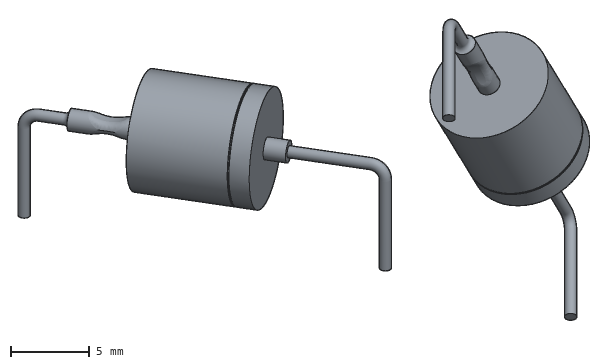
import cadquery as cq
import math

overall_length = 24.8
case_length = 8.18
case_diameter = 8.0
cap_length = 1.36
groove_width = 0.1
groove_diameter = 7.8

wire_diameter = 0.8
bend_radius = 1.0
lead_drop = 7.61
sleeve_diameter = 1.5
crimp_sleeve_length = 4.85
plain_sleeve_length = 1.5

crimp_offset = 2.23
crimp_floor_height = 0.42
crimp_floor_radius = 2.6
crimp_rim_radius = 0.47

case_end = case_length / 2
cap_start = case_end - cap_length
wire_radius = wire_diameter / 2
sleeve_radius = sleeve_diameter / 2
wire_x = overall_length / 2 - wire_radius
root_fillet = sleeve_radius - wire_radius


def cylinder_x(start, length, diameter):
    return cq.Workplane("YZ", origin=(start, 0, 0)).circle(diameter / 2).extrude(length)


def make_case():
    return cylinder_x(-case_end, cap_start - groove_width + case_end, case_diameter)


def make_cap():
    """Cap with a smaller spigot that forms the floor of the groove."""
    cap = cylinder_x(cap_start, cap_length, case_diameter)
    spigot = cylinder_x(cap_start - groove_width, groove_width, groove_diameter)
    return cap.union(spigot)


def make_bent_wire(start_x):
    """Wire on the +X side, bent down to -Z."""
    bend_x = wire_x - bend_radius
    bend_mid = bend_radius * math.sqrt(0.5)
    path = (
        cq.Workplane("XZ")
        .moveTo(start_x, 0)
        .lineTo(bend_x, 0)
        .threePointArc((bend_x + bend_mid, bend_mid - bend_radius), (wire_x, -bend_radius))
        .lineTo(wire_x, -lead_drop)
    )
    return cq.Workplane("YZ", origin=(start_x, 0, 0)).circle(wire_radius).sweep(path)


def make_plain_lead():
    """Lead on the +X side, with a short square-ended sleeve."""
    sleeve = cylinder_x(case_end, plain_sleeve_length, sleeve_diameter)
    return sleeve.union(make_bent_wire(case_end + plain_sleeve_length))


def make_root_fillet(sleeve_end):
    """Concave blend from the end face of the sleeve at sleeve_end down to the wire."""
    tip_x = sleeve_end - root_fillet
    arc_offset = root_fillet * math.sqrt(0.5)
    return (
        cq.Workplane("XY")
        .moveTo(tip_x, 0)
        .lineTo(tip_x, wire_radius)
        .threePointArc(
            (tip_x + arc_offset, sleeve_radius - arc_offset),
            (sleeve_end, sleeve_radius),
        )
        .lineTo(sleeve_end, 0)
        .close()
        .revolve(360, (0, 0, 0), (1, 0, 0))
    )


def make_pinched_sleeve(sleeve_end):
    """Long sleeve with a hollow pressed across its top and bottom, their edges rounded over."""
    crimp_x = -case_end - crimp_offset
    roller_z = crimp_floor_height + crimp_floor_radius
    roller = (
        cq.Workplane("XZ", origin=(crimp_x, 0, roller_z))
        .circle(crimp_floor_radius)
        .extrude(sleeve_diameter, both=True)
    )
    sleeve = cylinder_x(sleeve_end, crimp_sleeve_length, sleeve_diameter)
    sleeve = sleeve.rotate((0, 0, 0), (1, 0, 0), -90)
    hollow_edges = cq.selectors.BoxSelector(
        (crimp_x - crimp_floor_radius / 2, -sleeve_diameter, 0),
        (crimp_x + crimp_floor_radius / 2, sleeve_diameter, sleeve_diameter),
    )
    top_pinched = sleeve.cut(roller).edges(hollow_edges).fillet(crimp_rim_radius)
    return top_pinched.intersect(top_pinched.mirror("XY"))


def make_crimped_lead():
    """Lead on the -X side, with a long sleeve pinched from above and below."""
    sleeve_end = -case_end - crimp_sleeve_length
    sleeve = make_pinched_sleeve(sleeve_end)
    wire = make_bent_wire(-sleeve_end + root_fillet).mirror("YZ")
    return sleeve.union(make_root_fillet(sleeve_end)).union(wire)


case = make_case()
cap = make_cap()
crimped_lead = make_crimped_lead()
plain_lead = make_plain_lead()

result = cq.Compound.makeCompound([case.val(), cap.val(), crimped_lead.val(), plain_lead.val()])